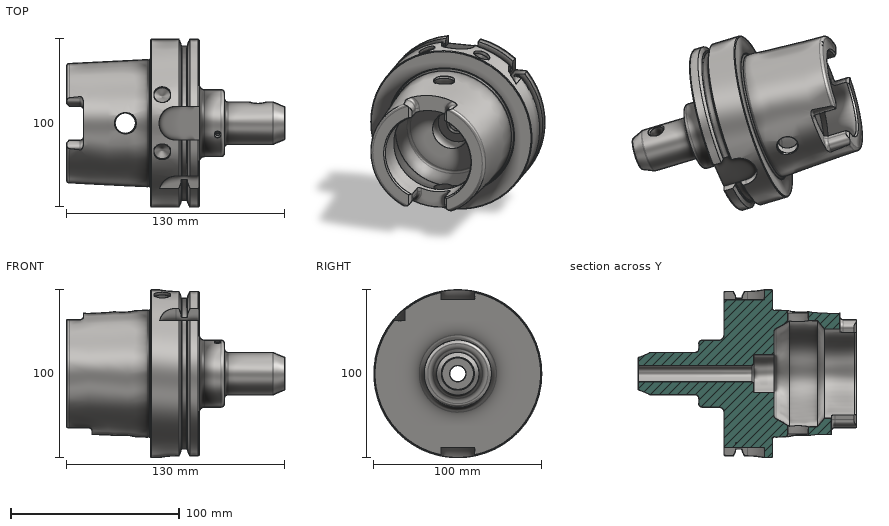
import cadquery as cq
import math


shank_length = 50.0
shank_base_radius = 38.0
taper_slope = 1 / 20
shank_nose_radius = 1.6

relief_start = -2.0
relief_floor_start = -1.2
relief_floor_end = -0.8
relief_radius = 75.42 / 2
relief_face_depth = 0.2
relief_bottom_radius = 38.7
relief_outer_radius = 39.3

bore_radius = 53.0 / 2
bore_mouth_depth = 1.2
bore_mouth_radius = 27.2
lip_x = -30.9
undercut_radius = 63.0 / 2
undercut_slope = math.radians(50)
undercut_end_x = -10.2
undercut_back_slope = 30.0
bore_floor_fillet = 2.0
bore_floor_radius = 25.0

thread_bore_diameter = 22.38
thread_bore_depth = 12.0
pilot_diameter = 12.0
axial_hole_diameter = 9.53

flange_radius = 50.0
flange_width = 29.0
flange_seat_chamfer = 0.5
flange_back_chamfer = 0.7
groove_center_x = 20.05
groove_mouth_width = 6.6
groove_throat_width = 3.85
groove_flank_depth = 2.8
groove_floor_radius = 46.0
groove_corner_fillet = 0.55

boss_radius = 40.0 / 2
boss_end_x = 44.0
boss_root_fillet = 3.0
boss_edge_fillet = 2.1
arbor_radius = 25.4 / 2
arbor_root_fillet = 2.0
arbor_end_x = 80.0
arbor_taper_start_x = 72.8
arbor_taper_blend = 1.0
arbor_tip_radius = 9.85
arbor_tip_chamfer = 0.5

keyway_half_width = 10.0
keyway_shoulder_radius = 5.0
keyway_shoulder_z = 32.2
keyway_floor_fillet = 2.0
keyway_top_depth = 10.0
keyway_bottom_depth = 15.0
keyway_mouth_chamfer = 1.65

cross_hole_x = -15.1
cross_hole_diameter = 12.0
cross_hole_chamfer = 0.6

slot_width = 20.0
slot_end_center_x = 15.0
slot_floor_z = 44.0
notch_inner_y = -31.5
notch_floor_z = 31.5

radial_tilt = 20.0
dimple_x = 6.9
dimple_diameter = 10.0
dimple_depth = 2.0
drill_point_half_angle = math.radians(60)
boss_hole_x = 39.85
boss_hole_diameter = 4.0
boss_hole_depth = 1.0
boss_screw_diameter = 2.46
boss_screw_depth = 5.0

set_screw_x = 63.75
set_screw_diameter = 8.38
set_screw_rim_diameter = 10.0
set_screw_rim_y = 12.3


def shank_radius(x):
    return shank_base_radius + taper_slope * x


def point_on_arc(center, radius, degrees):
    angle = math.radians(degrees)
    return (center[0] + radius * math.cos(angle), center[1] + radius * math.sin(angle))


def revolve_about_x(profile):
    return profile.close().revolve(360, (0, 0, 0), (1, 0, 0))


def make_body():
    nose_start = shank_length - shank_nose_radius
    nose_center = (-nose_start, shank_radius(-nose_start) - shank_nose_radius)
    throat_radius = flange_radius - groove_flank_depth
    mouth = groove_mouth_width / 2
    throat = groove_throat_width / 2
    floor = throat - groove_corner_fillet
    left_corner = (groove_center_x - floor, groove_floor_radius + groove_corner_fillet)
    right_corner = (groove_center_x + floor, left_corner[1])
    root_center = (flange_width + boss_root_fillet, boss_radius + boss_root_fillet)
    edge_center = (boss_end_x - boss_edge_fillet, boss_radius - boss_edge_fillet)
    neck_center = (boss_end_x + arbor_root_fillet, arbor_radius + arbor_root_fillet)
    taper_run = arbor_end_x - arbor_tip_chamfer - arbor_taper_start_x
    taper_angle = math.atan((arbor_radius - arbor_tip_radius) / taper_run)
    blend_length = arbor_taper_blend * math.tan(taper_angle / 2)
    blend_center = (arbor_taper_start_x - blend_length, arbor_radius - arbor_taper_blend)
    blend_degrees = 90 - math.degrees(taper_angle)
    profile = (
        cq.Workplane("XY")
        .moveTo(-shank_length, 0)
        .lineTo(-shank_length, nose_center[1])
        .threePointArc(point_on_arc(nose_center, shank_nose_radius, 135),
                       (-nose_start, shank_radius(-nose_start)))
        .lineTo(relief_start, shank_radius(relief_start))
        .lineTo(relief_floor_start, relief_radius)
        .lineTo(relief_floor_end, relief_radius)
        .lineTo(relief_face_depth, relief_bottom_radius)
        .lineTo(0, relief_outer_radius)
        .lineTo(0, flange_radius - flange_seat_chamfer)
        .lineTo(flange_seat_chamfer, flange_radius)
        .lineTo(groove_center_x - mouth, flange_radius)
        .lineTo(groove_center_x - throat, throat_radius)
        .lineTo(groove_center_x - throat, left_corner[1])
        .threePointArc(point_on_arc(left_corner, groove_corner_fillet, 225),
                       (left_corner[0], groove_floor_radius))
        .lineTo(right_corner[0], groove_floor_radius)
        .threePointArc(point_on_arc(right_corner, groove_corner_fillet, 315),
                       (groove_center_x + throat, right_corner[1]))
        .lineTo(groove_center_x + throat, throat_radius)
        .lineTo(groove_center_x + mouth, flange_radius)
        .lineTo(flange_width - flange_back_chamfer, flange_radius)
        .lineTo(flange_width, flange_radius - flange_back_chamfer)
        .lineTo(flange_width, root_center[1])
        .threePointArc(point_on_arc(root_center, boss_root_fillet, 225), (root_center[0], boss_radius))
        .lineTo(edge_center[0], boss_radius)
        .threePointArc(point_on_arc(edge_center, boss_edge_fillet, 45), (boss_end_x, edge_center[1]))
        .lineTo(boss_end_x, neck_center[1])
        .threePointArc(point_on_arc(neck_center, arbor_root_fillet, 225), (neck_center[0], arbor_radius))
        .lineTo(blend_center[0], arbor_radius)
        .threePointArc(point_on_arc(blend_center, arbor_taper_blend, (90 + blend_degrees) / 2),
                       point_on_arc(blend_center, arbor_taper_blend, blend_degrees))
        .lineTo(arbor_end_x - arbor_tip_chamfer, arbor_tip_radius)
        .lineTo(arbor_end_x, arbor_tip_radius - arbor_tip_chamfer)
        .lineTo(arbor_end_x, 0)
    )
    return revolve_about_x(profile)


def make_axial_bore():
    undercut_run = (undercut_radius - bore_radius) / math.tan(undercut_slope)
    fillet_start_degrees = 90 - undercut_back_slope
    fillet_start = point_on_arc((0, bore_floor_radius), bore_floor_fillet, fillet_start_degrees)
    back_run = (undercut_radius - fillet_start[1]) / math.tan(math.radians(undercut_back_slope))
    fillet_center = (undercut_end_x + back_run - fillet_start[0], bore_floor_radius)
    bore_floor_x = fillet_center[0] + bore_floor_fillet
    thread_floor_x = bore_floor_x + thread_bore_depth
    pilot_run = (pilot_diameter - axial_hole_diameter) / 2
    profile = (
        cq.Workplane("XY")
        .moveTo(-shank_length, 0)
        .lineTo(-shank_length, bore_mouth_radius)
        .lineTo(-shank_length + bore_mouth_depth, bore_radius)
        .lineTo(lip_x, bore_radius)
        .lineTo(lip_x + undercut_run, undercut_radius)
        .lineTo(undercut_end_x, undercut_radius)
        .lineTo(undercut_end_x + back_run, fillet_start[1])
        .threePointArc(point_on_arc(fillet_center, bore_floor_fillet, fillet_start_degrees / 2),
                       (bore_floor_x, bore_floor_radius))
        .lineTo(bore_floor_x, thread_bore_diameter / 2)
        .lineTo(thread_floor_x, thread_bore_diameter / 2)
        .lineTo(thread_floor_x, pilot_diameter / 2)
        .lineTo(thread_floor_x + pilot_run, axial_hole_diameter / 2)
        .lineTo(arbor_end_x, axial_hole_diameter / 2)
        .lineTo(arbor_end_x, 0)
    )
    return revolve_about_x(profile)


def make_keyway(depth, side):
    """Cutter for one drive keyway; side is +1 for +Z and -1 for -Z."""
    shoulder_y = keyway_half_width + keyway_shoulder_radius
    shoulder_start_z = keyway_shoulder_z - keyway_shoulder_radius
    outside = shank_base_radius + keyway_shoulder_radius
    right_arc = point_on_arc((shoulder_y, shoulder_start_z), keyway_shoulder_radius, 135)
    cutter = (
        cq.Workplane("YZ", origin=(-shank_length, 0, 0))
        .moveTo(-keyway_half_width, 0)
        .lineTo(keyway_half_width, 0)
        .lineTo(keyway_half_width, shoulder_start_z)
        .threePointArc(right_arc, (shoulder_y, keyway_shoulder_z))
        .lineTo(outside, keyway_shoulder_z)
        .lineTo(outside, outside)
        .lineTo(-outside, outside)
        .lineTo(-outside, keyway_shoulder_z)
        .lineTo(-shoulder_y, keyway_shoulder_z)
        .threePointArc((-right_arc[0], right_arc[1]), (-keyway_half_width, shoulder_start_z))
        .close()
        .extrude(depth)
        .faces(">X").edges().fillet(keyway_floor_fillet)
    )
    half_mouth = keyway_half_width + keyway_mouth_chamfer
    mouth = (
        cq.Workplane("XY")
        .polyline([
            (-shank_length, -half_mouth),
            (-shank_length, half_mouth),
            (-shank_length + keyway_mouth_chamfer, keyway_half_width),
            (-shank_length + keyway_mouth_chamfer, -keyway_half_width),
        ])
        .close()
        .extrude(outside)
    )
    cutter = cutter.union(mouth)
    if side < 0:
        cutter = cutter.mirror("XY")
    return cutter


def make_cross_hole():
    radius = cross_hole_diameter / 2
    outer_z = shank_radius(cross_hole_x)
    hole = cq.Workplane("XY").center(cross_hole_x, 0).circle(radius).extrude(shank_base_radius, both=True)
    rim = (
        cq.Workplane("XY", origin=(cross_hole_x, 0, outer_z))
        .circle(radius + cross_hole_chamfer)
        .workplane(offset=-2 * cross_hole_chamfer)
        .circle(radius)
        .loft()
    )
    return hole.union(rim).union(rim.mirror("XY"))


def make_slot(center_y, floor_z):
    """Round-ended slot open toward the back face of the flange and upward."""
    height = flange_radius - floor_z
    straight = flange_width - slot_end_center_x
    origin = (slot_end_center_x, center_y, floor_z)
    rounded_end = cq.Workplane("XY", origin=origin).circle(slot_width / 2).extrude(height)
    channel = (
        cq.Workplane("XY", origin=origin)
        .box(straight, slot_width, height, centered=(False, True, False))
    )
    return rounded_end.union(channel)


def make_radial_hole(x, tilt, profile):
    """Revolve a half profile of (radius, height from the axis) about Z, then tilt it about X."""
    hole = cq.Workplane("XZ").polyline(profile).close().revolve(360, (0, 0, 0), (0, 1, 0))
    return hole.translate((x, 0, 0)).rotate((0, 0, 0), (1, 0, 0), tilt)


def make_dimple(tilt):
    radius = dimple_diameter / 2
    shoulder = flange_radius - dimple_depth
    apex = shoulder - radius / math.tan(drill_point_half_angle)
    profile = [(0, apex), (radius, shoulder), (radius, flange_radius), (0, flange_radius)]
    return make_radial_hole(dimple_x, tilt, profile)


def make_boss_hole():
    radius = boss_hole_diameter / 2
    screw_radius = boss_screw_diameter / 2
    shoulder = boss_radius - boss_hole_depth
    profile = [
        (0, boss_radius - boss_screw_depth),
        (screw_radius, boss_radius - boss_screw_depth),
        (screw_radius, shoulder - (radius - screw_radius)),
        (radius, shoulder),
        (radius, boss_radius),
        (0, boss_radius),
    ]
    return make_radial_hole(boss_hole_x, radial_tilt, profile)


def make_set_screw_hole():
    radius = set_screw_diameter / 2
    rim = set_screw_rim_diameter / 2
    profile = (
        cq.Workplane("XY")
        .polyline([
            (0, 0),
            (radius, 0),
            (radius, set_screw_rim_y - (rim - radius)),
            (rim, set_screw_rim_y),
            (rim, arbor_radius),
            (0, arbor_radius),
        ])
        .close()
    )
    return profile.revolve(360, (0, 0, 0), (0, 1, 0)).translate((set_screw_x, 0, 0))



result = make_body().cut(make_axial_bore())
result = result.cut(make_keyway(keyway_top_depth, 1))
result = result.cut(make_keyway(keyway_bottom_depth, -1))
result = result.cut(make_cross_hole())

keyed_slot = make_slot(0, slot_floor_z)
result = result.cut(keyed_slot).cut(keyed_slot.mirror("XY"))
result = result.cut(make_slot(notch_inner_y - slot_width / 2, notch_floor_z))

for tilt in (radial_tilt, -radial_tilt):
    result = result.cut(make_dimple(tilt))
result = result.cut(make_boss_hole())
result = result.cut(make_set_screw_hole())